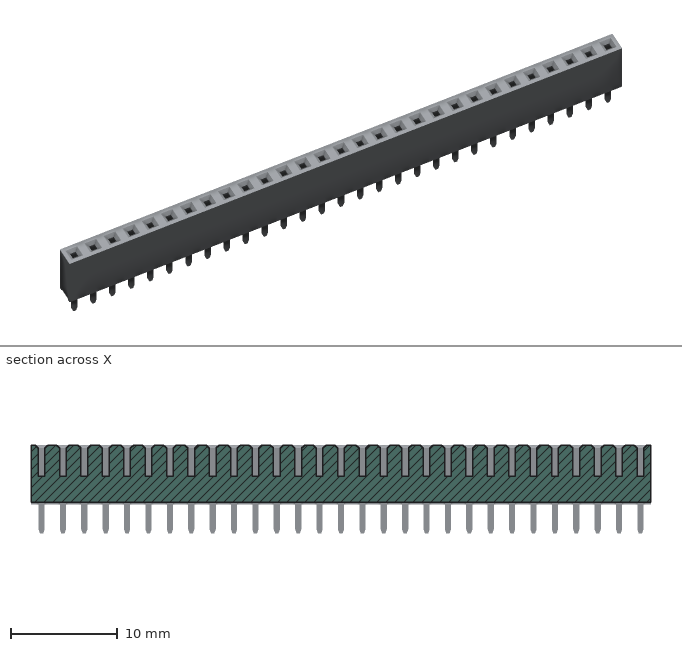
import cadquery as cq

body_length = 58.0
contact_count = 29
pitch = body_length / contact_count
body_width = pitch
total_height = 8.3
body_height = 5.55
pin_length = total_height - body_height

channel_width = 1.4
channel_depth = 0.2

socket_mouth = 1.2
socket_bore = 0.6
lead_in_depth = 0.3
socket_depth = 2.9

pin_width = 0.6
pin_thickness = 0.205
tip_width = 0.3
tip_length = 0.4

blade_width = 0.45
blade_height = 0.6

contact_positions = [
    (0, (index - (contact_count - 1) / 2) * pitch) for index in range(contact_count)
]


def make_housing():
    """Rectangular bar standing on Z = 0, with a channel along its underside."""
    bar = cq.Workplane("XY").box(body_width, body_length, body_height, centered=(True, True, False))
    channel = cq.Workplane("XY").box(
        channel_width, body_length, channel_depth, centered=(True, True, False)
    )
    return bar.cut(channel)


def make_socket():
    """Square blind bore below a pyramidal lead-in, opening at the top of the housing."""
    lead_in = (
        cq.Workplane("XY", origin=(0, 0, body_height))
        .rect(socket_mouth, socket_mouth)
        .workplane(offset=-lead_in_depth)
        .rect(socket_bore, socket_bore)
        .loft(ruled=True)
    )
    bore = (
        cq.Workplane("XY", origin=(0, 0, body_height - socket_depth))
        .rect(socket_bore, socket_bore)
        .extrude(socket_depth - lead_in_depth)
    )
    return lead_in.union(bore).cut(make_blade())


def make_blade():
    """Flat contact blade rising from the floor of a socket."""
    return cq.Workplane("XY", origin=(0, 0, body_height - socket_depth)).box(
        pin_thickness, blade_width, blade_height, centered=(True, True, False)
    )


def make_pin():
    """Flat pin hanging from the roof of the channel, narrowing towards its tip."""
    shoulder_z = tip_length - pin_length
    outline = [
        (-pin_width / 2, channel_depth),
        (-pin_width / 2, shoulder_z),
        (-tip_width / 2, -pin_length),
        (tip_width / 2, -pin_length),
        (pin_width / 2, shoulder_z),
        (pin_width / 2, channel_depth),
    ]
    return cq.Workplane("YZ").polyline(outline).close().extrude(pin_thickness / 2, both=True)


def at_every_contact(shape):
    """Copies of a shape at all contact positions along the housing."""
    solid = shape.val()
    return cq.Workplane("XY").pushPoints(contact_positions).eachpoint(lambda place: solid.moved(place))


result = make_housing().cut(at_every_contact(make_socket())).union(at_every_contact(make_pin()))